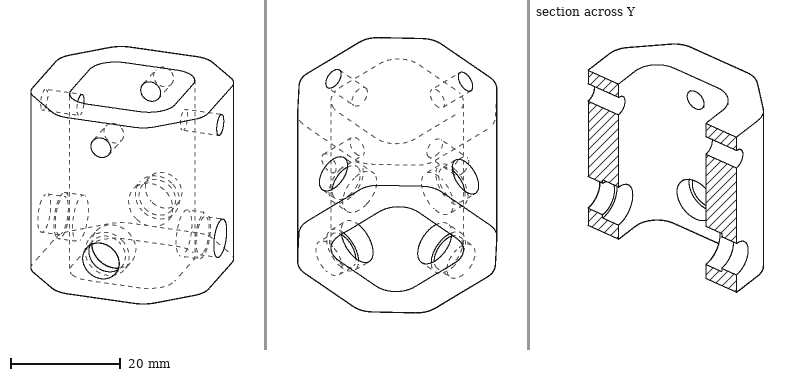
import cadquery as cq

height = 35.0
width = 34.0
corner_cut = 8.5
outer_radius = 5.0
bore_width = 20.0
bore_radius = 5.0
small_hole_diameter = 3.85
small_hole_drop = 5.0
large_hole_diameter = 7.05
large_hole_relief_diameter = 8.5
large_hole_lip = 3.4
large_hole_rise = 7.5


def make_body():
    """Octagonal prism with rounded vertical edges."""
    prism = cq.Workplane("XY").rect(width, width).extrude(height)
    return prism.edges("|Z").chamfer(corner_cut).edges("|Z").fillet(outer_radius)


def make_bore():
    """Rounded square passage along the full height."""
    return cq.Workplane("XY").rect(bore_width, bore_width).extrude(height).edges("|Z").fillet(bore_radius)


def make_cross_hole(plane, diameter, z, half_length=width / 2):
    """Cylinder centred on the Z axis that reaches equally far into both opposite walls."""
    return cq.Workplane(plane).center(0, z).circle(diameter / 2).extrude(half_length, both=True)


result = make_body().cut(make_bore())
relief_reach = width / 2 - large_hole_lip
for plane in ("XZ", "YZ"):
    result = result.cut(make_cross_hole(plane, small_hole_diameter, height - small_hole_drop))
    result = result.cut(make_cross_hole(plane, large_hole_diameter, large_hole_rise))
    result = result.cut(make_cross_hole(plane, large_hole_relief_diameter, large_hole_rise, relief_reach))